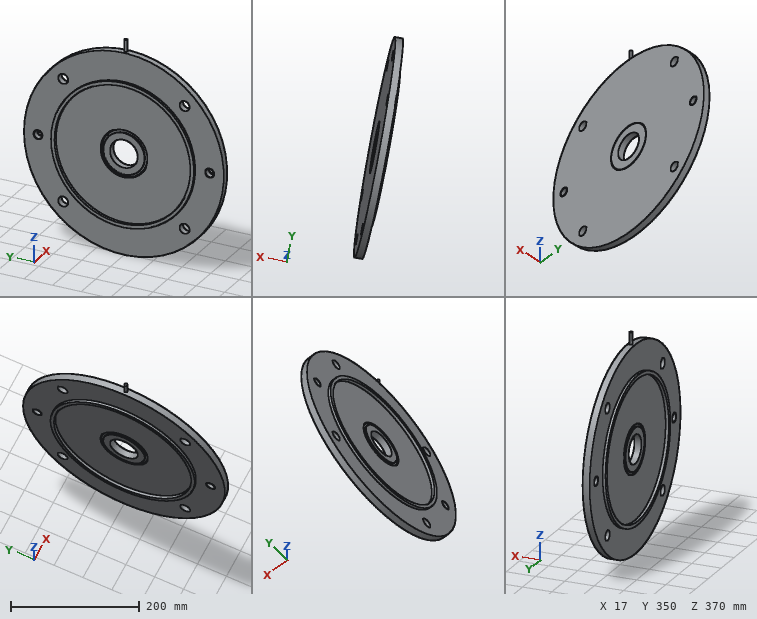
import cadquery as cq
import math

plate_diameter = 350.0
plate_thickness = 12.2
overall_thickness = 17.0
rim_height = overall_thickness - plate_thickness

rim_diameter = 250.0
disc_diameter = 238.0
disc_setback = 5.5
disc_thickness = 5.0
disc_front = -rim_height + disc_setback
disc_back = disc_front + disc_thickness

hub_clearance_diameter = 82.0
hub_diameter = 80.0
hub_boss_diameter = 72.0
hub_boss_height = 2.2
hub_bore_diameter = 48.0
hub_boss_front = 0.0
hub_shoulder = hub_boss_front + hub_boss_height

pitch_radius = 150.0
mounting_hole_diameter = 17.0
mounting_hole_angles = (45, 135, 225, 315)
bushing_angles = (0, 180)
bushing_diameter = 16.0
bushing_bore_diameter = 13.7

overall_height = 370.0
cable_diameter = 5.0
cable_x = 7.0
cable_socket_depth = 7.5
cable_top = overall_height - plate_diameter / 2
cable_bottom = plate_diameter / 2 - cable_socket_depth


def cylinder(diameter, x_start, x_end, y=0.0, z=0.0):
    """Solid cylinder along X between two X positions."""
    return (
        cq.Workplane("YZ", origin=(x_start, y, z))
        .circle(diameter / 2)
        .extrude(x_end - x_start)
    )


def pitch_point(angle):
    """Y and Z of a point on the pitch circle."""
    radians = math.radians(angle)
    return pitch_radius * math.cos(radians), pitch_radius * math.sin(radians)


def make_cable():
    return (
        cq.Workplane("XY", origin=(cable_x, 0, cable_bottom))
        .circle(cable_diameter / 2)
        .extrude(cable_top - cable_bottom)
    )


def make_plate():
    plate = cylinder(plate_diameter, 0, plate_thickness)
    plate = plate.union(cylinder(rim_diameter, -rim_height, plate_thickness))
    plate = plate.cut(cylinder(disc_diameter, -rim_height, disc_back))
    plate = plate.cut(cylinder(hub_clearance_diameter, -rim_height, plate_thickness))
    for angle in mounting_hole_angles:
        plate = plate.cut(cylinder(mounting_hole_diameter, 0, plate_thickness, *pitch_point(angle)))
    for angle in bushing_angles:
        plate = plate.cut(cylinder(bushing_diameter, 0, plate_thickness, *pitch_point(angle)))
    return plate.cut(make_cable())


def make_disc():
    disc = cylinder(disc_diameter, disc_front, disc_back)
    return disc.cut(cylinder(hub_clearance_diameter, disc_front, disc_back))


def make_hub():
    hub = cylinder(hub_diameter, hub_shoulder, plate_thickness)
    hub = hub.union(cylinder(hub_boss_diameter, hub_boss_front, plate_thickness))
    return hub.cut(cylinder(hub_bore_diameter, hub_boss_front, plate_thickness))


def make_bushing(angle):
    y, z = pitch_point(angle)
    bushing = cylinder(bushing_diameter, 0, plate_thickness, y, z)
    return bushing.cut(cylinder(bushing_bore_diameter, 0, plate_thickness, y, z))


plate = make_plate()
disc = make_disc()
hub = make_hub()
cable = make_cable()
bushings = [make_bushing(angle) for angle in bushing_angles]

result = cq.Compound.makeCompound(
    [plate.val(), disc.val(), hub.val(), cable.val(), *[bushing.val() for bushing in bushings]]
)